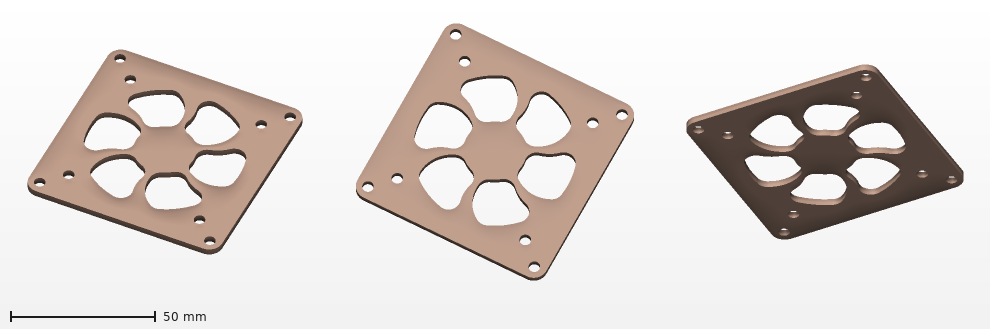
import cadquery as cq

PLATE_SIDE = 73.8
PLATE_THICKNESS = 2.5
PLATE_CORNER_RADIUS = 5.0

HOLE_DIAMETER = 4.0
OUTER_HOLE_SPACING = 65.0
INNER_HOLE_SPACING = 50.0

OPENING_COUNT = 6
HUB_RADIUS = 11.0
RING_RADIUS = 28.4
OPENING_FILLET = 4.2

BULGING_SIDE_CENTER = (20.1, 4.0)
BULGING_SIDE_RADIUS = 12.6
HOLLOW_SIDE_CENTER = (10.9, 19.8)
HOLLOW_SIDE_RADIUS = 13.75


def disc(center, radius):
    """Cylinder through the plate thickness, standing on the XY plane."""
    return cq.Workplane("XY").center(*center).circle(radius).extrude(PLATE_THICKNESS)


def make_plate():
    """Square plate with rounded corners, resting on the XY plane."""
    plate = cq.Workplane("XY").box(PLATE_SIDE, PLATE_SIDE, PLATE_THICKNESS, centered=(True, True, False))
    return plate.edges("|Z").fillet(PLATE_CORNER_RADIUS)


def drill_square_pattern(plate, spacing):
    """Drill one through hole at each corner of a centred square."""
    return (
        plate.faces(">Z")
        .workplane(origin=(0, 0, PLATE_THICKNESS))
        .rect(spacing, spacing, forConstruction=True)
        .vertices()
        .hole(HOLE_DIAMETER)
    )


def make_opening():
    """Cutter for the opening on +X: four circular sides with rounded corners."""
    origin = (0, 0)
    bulging_disc = disc(BULGING_SIDE_CENTER, BULGING_SIDE_RADIUS)
    sector = disc(origin, RING_RADIUS).intersect(bulging_disc)
    sector = sector.cut(disc(origin, HUB_RADIUS))
    sector = sector.cut(disc(HOLLOW_SIDE_CENTER, HOLLOW_SIDE_RADIUS))
    return sector.edges("|Z").fillet(OPENING_FILLET)


def cut_openings(plate):
    """Cut the openings, evenly spaced about the Z axis."""
    opening = make_opening()
    pitch_angle = 360 / OPENING_COUNT
    for index in range(OPENING_COUNT):
        plate = plate.cut(opening.rotate((0, 0, 0), (0, 0, 1), index * pitch_angle))
    return plate


result = make_plate()
for hole_spacing in (OUTER_HOLE_SPACING, INNER_HOLE_SPACING):
    result = drill_square_pattern(result, hole_spacing)
result = cut_openings(result)